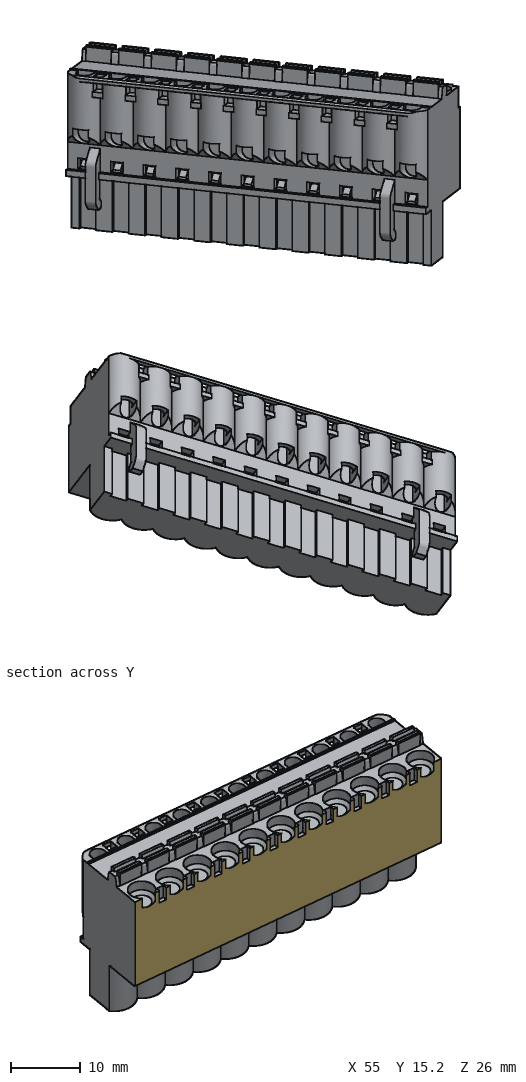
import cadquery as cq


POLES = 11
LENGTH = 55.0
PITCH = LENGTH / POLES
HALF_LENGTH = LENGTH / 2
TOP_Z = 26.0

HOUSING_BOTTOM = 8.3
HOUSING_TOP = 23.7
WALL_DEPTH = 13.3
REAR_CHAMFER = 0.2
REAR_CHAMFER_INSET = 2.1
NOTCH_HEIGHT = 3.2
NOTCH_DEPTH = 0.55
NOTCH_TOP_LENGTH = 1.1
NOTCH_BASE_LENGTH = 0.9

BARREL_DEPTH = 15.0
BARREL_BOTTOM = 13.25
BAND_BOTTOM = 22.95
BAND_CHAMFER_DEPTH = 0.35
BAND_CHAMFER_HEIGHT = 0.3

ENTRY_WIDTH = 2.4
ENTRY_REAR = 12.3
ENTRY_FRONT = 14.3
WINDOW_BOTTOM = 13.3
WINDOW_TOP = 15.8

FRONT_POCKET_WIDTH = 1.45
FRONT_POCKET_REAR = 12.8
FRONT_POCKET_FLOOR = 21.45
SHELF_WIDTH = 1.6
SHELF_DEPTH = 14.4
SHELF_BOTTOM = 20.6
REAR_POCKET_WIDTH = 1.2
REAR_POCKET_REAR = 0.5
REAR_POCKET_FRONT = 1.65
REAR_POCKET_HEIGHT = 2.2

WELL_TOP_DIAMETER = 4.0
WELL_FLOOR_DIAMETER = 2.9
WELL_AXIS = 2.7
WELL_STRAIGHT_HEIGHT = 1.6
WELL_TAPER_HEIGHT = 0.55

SPINE_REAR = 5.35
SPINE_FRONT = 7.5
SPINE_TOP = 25.4
SPINE_SHOULDER = 25.1
SPINE_LEAN = 0.2
SPINE_BEVEL = 0.15
HOLDER_WIDTH = 3.85
HOLDER_REAR = 5.3
HOLDER_FRONT = 7.35
HOLDER_LIP = 0.6
HOLDER_LIP_FOOT = 0.75
HOLDER_CHAMFER = 0.15
RIDGE_REAR = 12.0
RIDGE_HEIGHT = 0.15

RAIL_DEPTH = 13.95
RAIL_TOP = 9.25
SIGHT_WIDTH = 1.85
SIGHT_BOTTOM = 9.4
SIGHT_TOP = 11.0
SIGHT_RECESS = 1.1
RAMP_WIDTH = 1.15
RAMP_FOOT = 9.8
RAMP_TOP = 10.6
RAMP_CREST = 0.2

PLUG_REAR = 7.05
PLUG_FRONT = 11.75
PLUG_SCALLOP = 1.1
KEYWAY_WIDTH = PITCH / 2
KEYWAY_RECESS = 0.55

HOOK_WIDTH = 1.6
HOOK_OFFSET = 1.7
HOOK_POLES = (0, 9)
HOOK_FRONT = 15.2
HOOK_ROUND = 1.0
HOOK_TOP = 12.75
HOOK_BOTTOM = 3.8
HOOK_BACK = 13.5
HOOK_NOSE = 13.0
HOOK_NOSE_TOP = 4.85
HOOK_NOSE_BEVEL = 0.15
HOOK_LEAD_IN = 1.1

OVERLAP = 0.55


def box(x_center, width, rear, front, bottom, top):
    """Block centred on x_center, between two depths and two heights."""
    return cq.Workplane("XY").box(width, front - rear, top - bottom).translate(
        (x_center, -(rear + front) / 2, (bottom + top) / 2)
    )


def side_prism(x_center, width, outline):
    """Extrude a (depth, height) outline along X, centred on x_center."""
    points = [(-depth, z) for depth, z in outline]
    return (
        cq.Workplane("YZ").polyline(points).close().extrude(width / 2, both=True).translate((x_center, 0, 0))
    )


def scalloped_wall(root_depth, start_depth, crest_depth, bottom, top):
    """Full-length wall whose face carries one arc per pole."""
    wall = (
        cq.Workplane("XY").workplane(offset=bottom).moveTo(-HALF_LENGTH, -root_depth)
        .lineTo(-HALF_LENGTH, -start_depth)
    )
    for x in pole_x:
        wall = wall.threePointArc((x, -crest_depth), (x + PITCH / 2, -start_depth))
    return wall.lineTo(HALF_LENGTH, -root_depth).close().extrude(top - bottom)


def compound_of(parts):
    """Gather separate tools so that they can be cut or joined in one step."""
    return cq.Workplane(cq.Compound.makeCompound([part.val() for part in parts]))


def wire_entry(x):
    """Round-fronted shaft from the top that ends in a window with a round floor."""
    radius = ENTRY_WIDTH / 2
    axis_z = WINDOW_BOTTOM + radius
    round_start = ENTRY_FRONT - radius
    shaft = (
        cq.Workplane("XY").workplane(offset=axis_z).moveTo(x - radius, -ENTRY_REAR)
        .lineTo(x - radius, -round_start)
        .threePointArc((x, -ENTRY_FRONT), (x + radius, -round_start))
        .lineTo(x + radius, -ENTRY_REAR).close()
        .extrude(HOUSING_TOP + OVERLAP - axis_z)
    )
    window = (
        cq.Workplane("XZ").workplane(offset=ENTRY_REAR).moveTo(x - radius, WINDOW_TOP)
        .lineTo(x - radius, axis_z)
        .threePointArc((x, WINDOW_BOTTOM), (x + radius, axis_z))
        .lineTo(x + radius, WINDOW_TOP).close()
        .extrude(BARREL_DEPTH + OVERLAP - ENTRY_REAR)
    )
    return shaft.union(window)


def screw_well(x):
    """Blind round well that tapers at its foot to a smaller flat floor."""
    floor_z = HOUSING_TOP - WELL_STRAIGHT_HEIGHT - WELL_TAPER_HEIGHT
    taper = (
        cq.Workplane("XY").workplane(offset=floor_z).center(x, -WELL_AXIS).circle(WELL_FLOOR_DIAMETER / 2)
        .workplane(offset=WELL_TAPER_HEIGHT).circle(WELL_TOP_DIAMETER / 2).loft()
    )
    return taper.faces(">Z").workplane().circle(WELL_TOP_DIAMETER / 2).extrude(WELL_STRAIGHT_HEIGHT)


def marker_holder(x):
    """Two lips with chamfered outer edges and an open slot between them."""
    foot = HOUSING_TOP - OVERLAP
    return side_prism(
        x,
        HOLDER_WIDTH,
        [
            (HOLDER_REAR, foot),
            (HOLDER_REAR, TOP_Z - HOLDER_CHAMFER),
            (HOLDER_REAR + HOLDER_CHAMFER, TOP_Z),
            (HOLDER_REAR + HOLDER_LIP, TOP_Z),
            (HOLDER_REAR + HOLDER_LIP_FOOT, SPINE_TOP),
            (HOLDER_FRONT - HOLDER_LIP_FOOT, SPINE_TOP),
            (HOLDER_FRONT - HOLDER_LIP, TOP_Z),
            (HOLDER_FRONT - HOLDER_CHAMFER, TOP_Z),
            (HOLDER_FRONT, TOP_Z - HOLDER_CHAMFER),
            (HOLDER_FRONT, foot),
        ],
    )


def inspection_window(x):
    """Recess in the front wall with a 45 degree ramp left standing in it."""
    back = WALL_DEPTH - SIGHT_RECESS
    recess = box(x, SIGHT_WIDTH, back, WALL_DEPTH + OVERLAP, SIGHT_BOTTOM, SIGHT_TOP)
    crest_front = back + RAMP_CREST
    ramp_front = crest_front + RAMP_TOP - RAMP_FOOT
    ramp = side_prism(
        x,
        RAMP_WIDTH,
        [
            (back, SIGHT_BOTTOM),
            (back, RAMP_TOP),
            (crest_front, RAMP_TOP),
            (ramp_front, RAMP_FOOT),
            (ramp_front, SIGHT_BOTTOM),
        ],
    )
    return recess.cut(ramp)


def corner_notch():
    """Notch at the top of the rear corner on the -X end."""
    return (
        cq.Workplane("XY").workplane(offset=HOUSING_TOP - NOTCH_HEIGHT)
        .polyline([
            (-HALF_LENGTH, 0),
            (-HALF_LENGTH + NOTCH_TOP_LENGTH, 0),
            (-HALF_LENGTH + NOTCH_BASE_LENGTH, -NOTCH_DEPTH),
            (-HALF_LENGTH, -NOTCH_DEPTH),
        ]).close().extrude(NOTCH_HEIGHT)
    )


def latch_hook(x):
    """Hook that hangs from the rail, with a sloped head and an inward nose."""
    root = WALL_DEPTH - OVERLAP
    outline = [
        (root, HOOK_TOP),
        (WALL_DEPTH, HOOK_TOP),
        (HOOK_FRONT, HOOK_TOP - (HOOK_FRONT - WALL_DEPTH)),
        (HOOK_FRONT, HOOK_BOTTOM + HOOK_LEAD_IN),
        (HOOK_FRONT - HOOK_LEAD_IN, HOOK_BOTTOM),
        (HOOK_NOSE + HOOK_NOSE_BEVEL, HOOK_BOTTOM),
        (HOOK_NOSE, HOOK_BOTTOM + HOOK_NOSE_BEVEL),
        (HOOK_NOSE, HOOK_NOSE_TOP),
        (HOOK_BACK, HOOK_NOSE_TOP + HOOK_BACK - HOOK_NOSE),
        (HOOK_BACK, HOUSING_BOTTOM),
        (root, HOUSING_BOTTOM),
    ]
    hook = side_prism(x, HOOK_WIDTH, outline)
    return hook.edges("|X").edges("<Y").fillet(HOOK_ROUND)


pole_x = [-HALF_LENGTH + (i + 0.5) * PITCH for i in range(POLES)]
joint_x = [-HALF_LENGTH + i * PITCH for i in range(1, POLES)]

barrels = scalloped_wall(WALL_DEPTH - OVERLAP, WALL_DEPTH, BARREL_DEPTH, BARREL_BOTTOM, HOUSING_TOP)
band = box(0, LENGTH - PITCH, WALL_DEPTH - OVERLAP, BARREL_DEPTH, BAND_BOTTOM, HOUSING_TOP)
shelves = [
    box(x, SHELF_WIDTH, WALL_DEPTH - OVERLAP, SHELF_DEPTH, SHELF_BOTTOM, FRONT_POCKET_FLOOR) for x in joint_x
]
barrels = barrels.union(band).union(compound_of(shelves))

barrel_run = BARREL_DEPTH - WALL_DEPTH
barrel_undercut = side_prism(
    0,
    LENGTH,
    [(WALL_DEPTH, BARREL_BOTTOM), (BARREL_DEPTH, BARREL_BOTTOM + barrel_run), (BARREL_DEPTH, BARREL_BOTTOM)],
)
band_chamfer = side_prism(
    0,
    LENGTH,
    [
        (BARREL_DEPTH - BAND_CHAMFER_DEPTH, HOUSING_TOP),
        (BARREL_DEPTH, HOUSING_TOP),
        (BARREL_DEPTH, HOUSING_TOP - BAND_CHAMFER_HEIGHT),
    ],
)
barrels = barrels.cut(barrel_undercut).cut(band_chamfer)

housing = box(0, LENGTH, 0, WALL_DEPTH, HOUSING_BOTTOM, HOUSING_TOP)
rail = box(0, LENGTH, WALL_DEPTH - OVERLAP, RAIL_DEPTH, HOUSING_BOTTOM, RAIL_TOP)
rear_chamfer = side_prism(
    0,
    LENGTH - 2 * REAR_CHAMFER_INSET,
    [(0, HOUSING_TOP), (REAR_CHAMFER, HOUSING_TOP), (0, HOUSING_TOP - REAR_CHAMFER)],
)
left_notch = corner_notch()
right_notch = left_notch.mirror("YZ")
housing = housing.cut(rear_chamfer).cut(left_notch).cut(right_notch).union(rail).union(barrels)

housing = housing.cut(compound_of([wire_entry(x) for x in pole_x]))
housing = housing.cut(compound_of([screw_well(x) for x in pole_x]))
housing = housing.cut(compound_of([inspection_window(x) for x in pole_x]))
pocket_top = HOUSING_TOP + OVERLAP
front_pockets = [
    box(x, FRONT_POCKET_WIDTH, FRONT_POCKET_REAR, ENTRY_FRONT, FRONT_POCKET_FLOOR, pocket_top)
    for x in joint_x
]
rear_pocket_floor = HOUSING_TOP - REAR_POCKET_HEIGHT
rear_pockets = [
    box(x, REAR_POCKET_WIDTH, REAR_POCKET_REAR, REAR_POCKET_FRONT, rear_pocket_floor, pocket_top)
    for x in joint_x
]
housing = housing.cut(compound_of(front_pockets)).cut(compound_of(rear_pockets))

spine = side_prism(
    0,
    LENGTH,
    [
        (SPINE_REAR, HOUSING_TOP - OVERLAP),
        (SPINE_REAR, HOUSING_TOP),
        (SPINE_REAR + SPINE_LEAN, SPINE_SHOULDER),
        (SPINE_REAR + SPINE_LEAN + SPINE_BEVEL, SPINE_TOP),
        (SPINE_FRONT - SPINE_LEAN - SPINE_BEVEL, SPINE_TOP),
        (SPINE_FRONT - SPINE_LEAN, SPINE_SHOULDER),
        (SPINE_FRONT, HOUSING_TOP),
        (SPINE_FRONT, HOUSING_TOP - OVERLAP),
    ],
)
for x in pole_x:
    spine = spine.cut(box(x, HOLDER_WIDTH, SPINE_REAR, SPINE_FRONT, HOUSING_TOP, TOP_Z))
ridge = box(0, LENGTH, RIDGE_REAR, ENTRY_REAR, HOUSING_TOP - OVERLAP, HOUSING_TOP + RIDGE_HEIGHT)
housing = housing.union(spine).union(compound_of([marker_holder(x) for x in pole_x])).union(ridge)

plug_rear = scalloped_wall(PLUG_REAR + OVERLAP, PLUG_REAR, PLUG_REAR - PLUG_SCALLOP, 0, HOUSING_BOTTOM)
plug = box(0, LENGTH, PLUG_REAR, PLUG_FRONT, 0, HOUSING_BOTTOM + OVERLAP).union(plug_rear)
keyways = [
    box(x, KEYWAY_WIDTH, PLUG_FRONT - KEYWAY_RECESS, PLUG_FRONT + OVERLAP, 0, HOUSING_BOTTOM) for x in pole_x
]
plug = plug.cut(compound_of(keyways))

hooks = [latch_hook(pole_x[i] + HOOK_OFFSET) for i in HOOK_POLES]
result = housing.union(plug).union(compound_of(hooks))